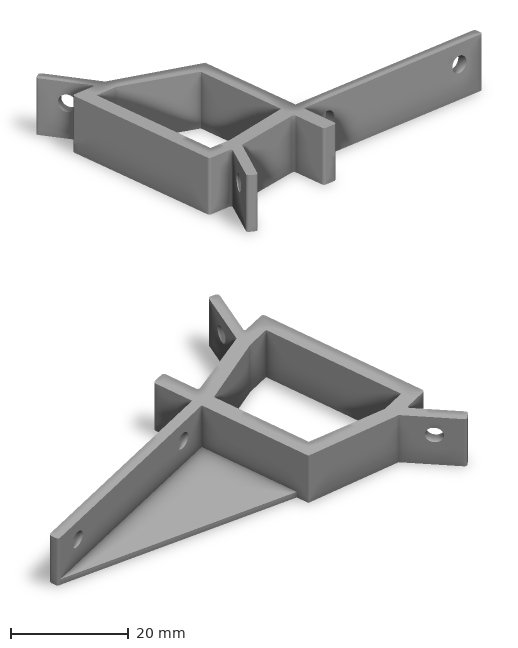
import cadquery as cq
import math

height = 10.7
total_width = 53.7
total_length = 67.0
mid_x = total_width / 2

wall = 2.95
side_wall = 2.8
ring_half_width = 16.9
ring_left = mid_x - ring_half_width
ring_right = mid_x + ring_half_width
knee_y = 7.65
bar_back = 25.0
bar_front = bar_back - wall
bar_right = 48.8
ring_back_left = 16.4
ring_back_right = 40.9
window_back_left = 18.4
window_back_right = 38.2

fin_thickness = 2.0
fin_right = 40.7
fin_left = fin_right - fin_thickness
floor_thickness = 1.3
floor_left = 18.8

wing_angle = 30.0
wing_thickness = 2.0
edge_radius = 0.5
wing_root_radius = 0.3

hole_diameter = 3.3
hole_z = 6.7
fin_hole_positions = (30.55, 61.5)
wing_hole_x = 5.0
wing_hole_y = 3.95

wing_cos = math.cos(math.radians(wing_angle))
wing_sin = math.sin(math.radians(wing_angle))
wing_tip_x = -edge_radius * (wing_cos + wing_sin - 1)
wing_tip_y = knee_y - (ring_left - wing_tip_x) * math.tan(math.radians(wing_angle))


def prism(points, depth):
    """Extrude a closed polygon upwards from the base plane."""
    return cq.Workplane("XY").polyline(points).close().extrude(depth)


def box_between(x_min, x_max, y_min, y_max):
    """Full-height block between two X and two Y limits."""
    return prism([(x_min, y_min), (x_max, y_min), (x_max, y_max), (x_min, y_max)], height)


def mirrored(body):
    """Reflect a body across the middle plane of the ring base."""
    return body.mirror("YZ", (mid_x, 0, 0))


def left_wing():
    """Wing running from inside the ring wall down to its tip."""
    root = (ring_left + side_wall / 2, knee_y + side_wall / 2 * wing_sin / wing_cos)
    tip = (wing_tip_x, wing_tip_y)
    across = (wing_thickness * wing_sin, -wing_thickness * wing_cos)
    return prism(
        [
            (ring_left, knee_y),
            tip,
            (tip[0] + across[0], tip[1] + across[1]),
            (root[0] + across[0], root[1] + across[1]),
            (root[0], knee_y),
        ],
        height,
    )


def left_wing_hole():
    """Cutter through the left wing, square to its faces."""
    direction = cq.Vector(wing_sin, -wing_cos, 0)
    start = cq.Vector(wing_hole_x, wing_hole_y, hole_z) - direction * wing_thickness
    return cq.Workplane(
        cq.Solid.makeCylinder(hole_diameter / 2, 2 * wing_thickness, start, direction)
    )


def near(body, x, y):
    """The vertical edge of a body closest to a plan position."""
    return body.edges("|Z").edges(cq.selectors.NearestToPointSelector((x, y, height / 2)))


ring = prism(
    [
        (ring_left, 0),
        (ring_right, 0),
        (ring_right, knee_y),
        (ring_back_right, bar_back),
        (ring_back_left, bar_back),
        (ring_left, knee_y),
    ],
    height,
)
window = prism(
    [
        (ring_left + side_wall, wall),
        (ring_right - side_wall, wall),
        (ring_right - side_wall, knee_y),
        (window_back_right, bar_front),
        (window_back_left, bar_front),
        (ring_left + side_wall, knee_y),
    ],
    height,
)
crossbar = box_between(mid_x, bar_right, bar_front, bar_back)
fin = box_between(fin_left, fin_right, bar_front, total_length)
brace_floor = prism(
    [
        (floor_left, bar_back),
        (fin_left, bar_back),
        (fin_left, total_length - edge_radius),
    ],
    floor_thickness,
)

ring = ring.edges("|Z and <Y").fillet(edge_radius)
crossbar = crossbar.edges("|Z and >X").fillet(edge_radius)
fin = fin.edges("|Z and >Y").fillet(edge_radius)
wing = left_wing().edges("|Z and <X").fillet(edge_radius)
wing = wing.edges("|Z and <Y").fillet(edge_radius)

body = ring.union(crossbar).union(wing).union(mirrored(wing))

wing_root_y = knee_y - wing_thickness / wing_cos
bar_joint_x = ring_right + (ring_back_right - ring_right) * (bar_front - knee_y) / (bar_back - knee_y)
for root_x in (ring_left, ring_right):
    body = near(body, root_x, wing_root_y).fillet(wing_root_radius)
body = near(body, bar_joint_x, bar_front).fillet(edge_radius)

body = body.union(fin).union(brace_floor).cut(window)

for hole_y in fin_hole_positions:
    start = cq.Vector(fin_left - fin_thickness, hole_y, hole_z)
    cutter = cq.Solid.makeCylinder(hole_diameter / 2, 3 * fin_thickness, start, cq.Vector(1, 0, 0))
    body = body.cut(cq.Workplane(cutter))

result = body.cut(left_wing_hole()).cut(mirrored(left_wing_hole()))